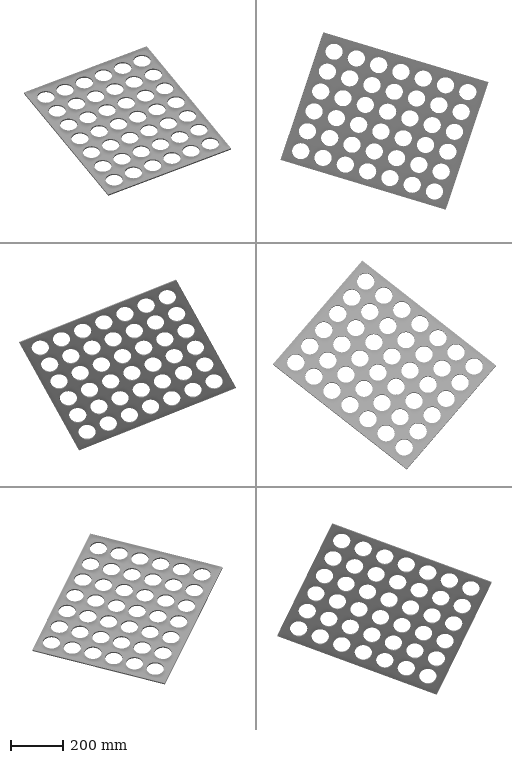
import cadquery as cq

length = 665.0
width = 540.0
thickness = 6.0

hole_diameter = 66.5
columns = 7
rows = 6
column_pitch = 90.0
row_pitch = 84.5
grid_offset_y = 2.5

plate = cq.Workplane("XY").box(length, width, thickness)

result = (
    plate.faces(">Z")
    .workplane(origin=(0, grid_offset_y, 0))
    .rarray(column_pitch, row_pitch, columns, rows)
    .hole(hole_diameter)
)